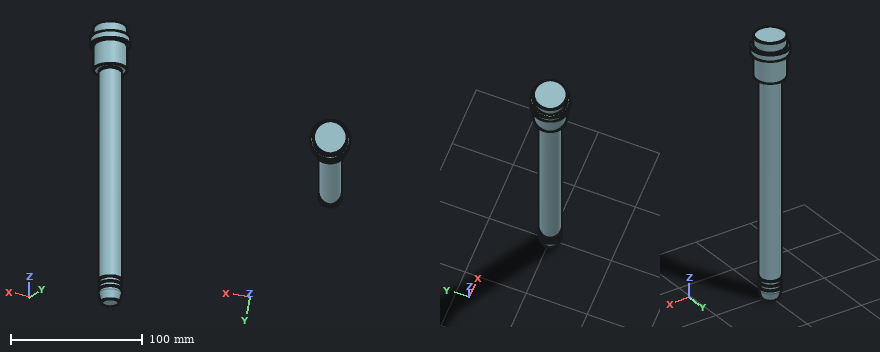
import cadquery as cq

total_length = 231.0
shaft_diameter = 18.0
head_diameter = 26.0
collar_diameter = 31.0

edge_chamfer = 0.5

cap_height = 8.8
collar_height = 6.5
barrel_height = 20.8

neck_length = 1.2
neck_depth = 0.7

tip_length = 7.6
tip_diameter = 14.3
groove_count = 3
groove_width = 1.0
groove_depth = 0.5
lowest_groove_height = 10.5
highest_groove_height = 18.5

collar_top = total_length - cap_height
barrel_top = collar_top - collar_height
head_bottom = barrel_top - barrel_height
neck_bottom = head_bottom - neck_length
groove_pitch = (highest_groove_height - lowest_groove_height) / (groove_count - 1)


def cylinder(diameter, bottom, height):
    """Solid cylinder on the pin axis, starting at the given height."""
    return cq.Workplane("XY").workplane(offset=bottom).circle(diameter / 2).extrude(height)


def chamfered_cylinder(diameter, bottom, height):
    """Cylinder on the pin axis with both rims chamfered."""
    return cylinder(diameter, bottom, height).faces("<Z or >Z").chamfer(edge_chamfer)


def tapered_tip():
    """Cone that widens from the chamfered tip face up to the shaft."""
    cone = (
        cq.Workplane("XY")
        .circle(tip_diameter / 2)
        .workplane(offset=tip_length)
        .circle(shaft_diameter / 2)
        .loft(ruled=True)
    )
    return cone.faces("<Z").chamfer(edge_chamfer)


def v_groove(center_height):
    """Ring with a triangular section, point inwards, to cut from the shaft."""
    outer_radius = shaft_diameter / 2
    half_width = groove_width / 2
    return (
        cq.Workplane("XZ")
        .moveTo(outer_radius, center_height - half_width)
        .lineTo(outer_radius - groove_depth, center_height)
        .lineTo(outer_radius, center_height + half_width)
        .close()
        .revolve(360, (0, 0, 0), (0, 1, 0))
    )


shaft = cylinder(shaft_diameter, tip_length, neck_bottom - tip_length)
neck = cylinder(shaft_diameter - 2 * neck_depth, neck_bottom, neck_length)
shaft = shaft.union(tapered_tip()).union(neck)
for index in range(groove_count):
    shaft = shaft.cut(v_groove(lowest_groove_height + index * groove_pitch))

cap = chamfered_cylinder(head_diameter, collar_top, cap_height)
collar = chamfered_cylinder(collar_diameter, barrel_top, collar_height)
barrel = chamfered_cylinder(head_diameter, head_bottom, barrel_height)

result = shaft.union(barrel).union(collar).union(cap)